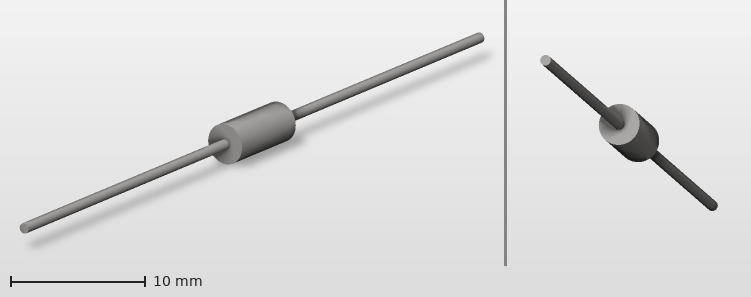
import cadquery as cq

overall_length = 57.5
body_length = 6.8
body_diameter = 3.1
lead_diameter = 0.8


def centred_cylinder(diameter, length):
    """Cylinder along Y, centred on the origin."""
    start = cq.Workplane("XZ", origin=(0, length / 2, 0))
    return start.circle(diameter / 2).extrude(length)


body = centred_cylinder(body_diameter, body_length)

leads = centred_cylinder(lead_diameter, overall_length)

result = body.union(leads)